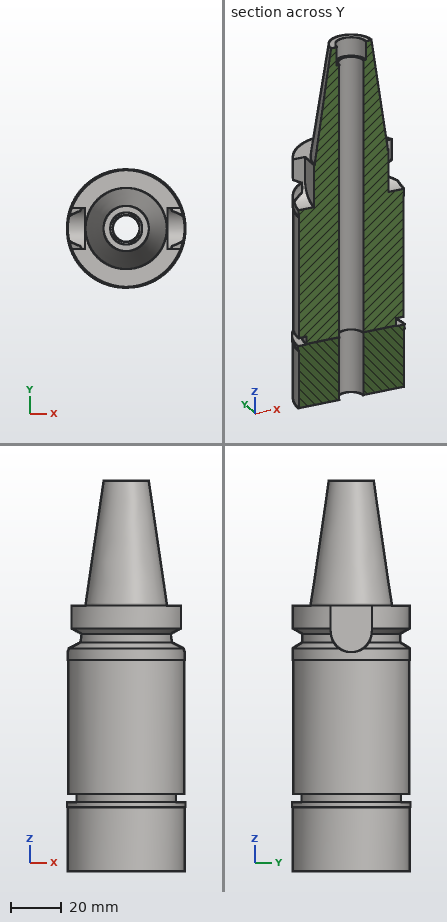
import cadquery as cq

total_height = 153.4
rim_chamfer_bottom = 25.0
rim_bottom = 25.3
nut_top = 27.2
barrel_bottom = 30.4
barrel_top = 83.0
collar_top = 87.6
groove_bottom = 89.9
groove_top = 93.3
flange_edge = 95.4
flange_top = 104.3
taper_bottom = 105.2

body_radius = 23.0
barrel_radius = 22.9
rim_radius = 23.3
neck_radius = 19.6
groove_radius = 19.3
taper_base_radius = 16.0
taper_tip_radius = 8.9
through_hole_radius = 5.2
counterbore_radius = 6.3
counterbore_depth = 8.0

slot_width = 16.1
slot_floor_distance = 16.3
slot_bottom = 86.0


def revolve_profile(points):
    """Turn a closed (radius, height) outline about the Z axis."""
    return cq.Workplane("XZ").polyline(points).close().revolve(360, (0, 0, 0), (0, 1, 0))


def make_drive_slot(side):
    """Round-bottomed cutter outside the slot floor; side is +1 or -1 along X."""
    slot_radius = slot_width / 2
    slot_center = slot_bottom + slot_radius
    outline = (
        cq.Workplane("YZ", origin=(side * slot_floor_distance, 0, 0))
        .moveTo(-slot_radius, flange_top)
        .lineTo(-slot_radius, slot_center)
        .threePointArc((0, slot_bottom), (slot_radius, slot_center))
        .lineTo(slot_radius, flange_top)
        .close()
    )
    return outline.extrude(side * body_radius)


def make_holder():
    """Taper, slotted flange, gripper groove, collar, barrel and neck with a stepped bore."""
    counterbore_floor = total_height - counterbore_depth
    holder = revolve_profile([
        (through_hole_radius, nut_top),
        (neck_radius, nut_top),
        (neck_radius, barrel_bottom),
        (barrel_radius, barrel_bottom),
        (barrel_radius, barrel_top),
        (body_radius, barrel_top),
        (body_radius, collar_top),
        (groove_radius, groove_bottom),
        (groove_radius, groove_top),
        (body_radius, flange_edge),
        (body_radius, flange_top),
        (taper_base_radius, flange_top),
        (taper_base_radius, taper_bottom),
        (taper_tip_radius, total_height),
        (counterbore_radius, total_height),
        (counterbore_radius, counterbore_floor),
        (through_hole_radius, counterbore_floor),
    ])
    for side in (-1, 1):
        holder = holder.cut(make_drive_slot(side))
    return holder


def make_nut():
    """Clamping nut with a raised rim at its top and a plain through hole."""
    return revolve_profile([
        (through_hole_radius, 0),
        (body_radius, 0),
        (body_radius, rim_chamfer_bottom),
        (rim_radius, rim_bottom),
        (rim_radius, nut_top),
        (through_hole_radius, nut_top),
    ])


holder = make_holder()
nut = make_nut()

result = cq.Compound.makeCompound([holder.val(), nut.val()])